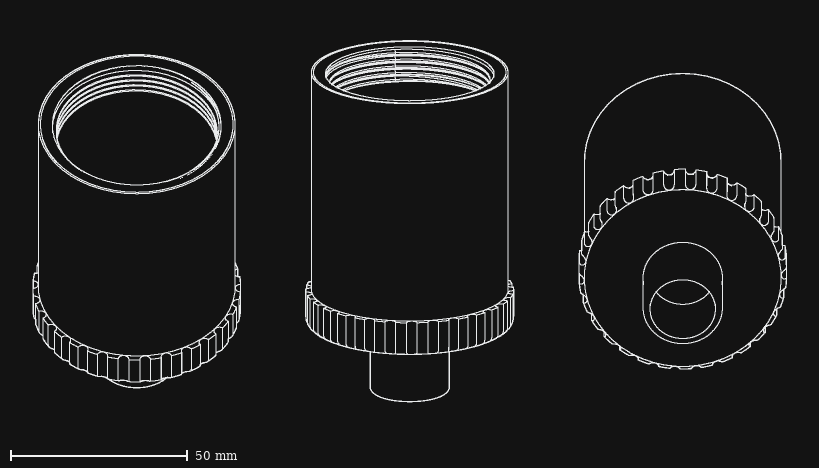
import cadquery as cq
import math

total_height = 95.0

barrel_radius = 55.8 / 2
bore_radius = 47.8 / 2
floor_thickness = barrel_radius - bore_radius

stem_length = 20.0
stem_radius = 22.5 / 2
stem_bore_radius = 18.5 / 2
stem_edge_fillet = 1.0

seat_radius = 21.9 / 2
seat_depth = floor_thickness / 2

collar_radius = 29.45
collar_height = 10.0
collar_fillet = 2.0
flute_count = 30
flute_radius = 1.5
flute_start_angle = 3.0

rim_land = 0.6
rim_lip_drop = 0.5

pitch = 2.0
flank_angle = 30
full_turns = 4
lead_turns = 0.25
thread_root_width = 7 / 8 * pitch
thread_crest_width = pitch / 4
thread_depth = 5 / 8 * pitch * math.cos(math.radians(flank_angle))
thread_top_gap = 1.5
points_per_turn = 48

collar_base = stem_length
floor_top = collar_base + floor_thickness
groove_width = barrel_radius - rim_land - bore_radius
groove_radius = (groove_width**2 + rim_lip_drop**2) / (2 * groove_width)
groove_centre_radius = barrel_radius - rim_land - groove_radius
crest_radius = bore_radius - thread_depth
thread_top = total_height - thread_top_gap - lead_turns * pitch
thread_bottom = thread_top - full_turns * pitch


def disc(radius, bottom, height):
    """Solid disc centred on the Z axis."""
    return cq.Workplane("XY").workplane(offset=bottom).circle(radius).extrude(height)


def make_collar():
    """Grip collar: rounded lower edge, with round flutes cut along its full height."""
    collar = disc(collar_radius, collar_base, collar_height).faces("<Z").edges().fillet(collar_fillet)
    flutes = (
        cq.Workplane("XY")
        .workplane(offset=collar_base)
        .polarArray(collar_radius, flute_start_angle, 360, flute_count)
        .circle(flute_radius)
        .extrude(collar_height)
    )
    return collar.cut(flutes)


def make_rim_groove():
    """Torus centred on the rim plane; its lower half sinks into the barrel wall."""
    rim_plane = cq.Vector(0, 0, total_height)
    return cq.Workplane(cq.Solid.makeTorus(groove_centre_radius, groove_radius, rim_plane))


def make_housing():
    """Barrel, collar and stem in one piece, bored through."""
    stem = disc(stem_radius, 0, stem_length).faces("<Z").edges().fillet(stem_edge_fillet)
    barrel = disc(barrel_radius, collar_base, total_height - collar_base)
    return (
        barrel.union(make_collar())
        .union(stem)
        .cut(disc(bore_radius, floor_top, total_height - floor_top))
        .cut(disc(seat_radius, floor_top - seat_depth, seat_depth))
        .cut(disc(stem_bore_radius, 0, floor_top))
        .cut(make_rim_groove())
    )


def make_thread_piece(start_height, start_angle, turns, start_fullness, end_fullness):
    """One right-handed length of thread; fullness 1 is the whole profile and 0 a point on the bore."""

    def corner_edge(corner_radius, corner_height):
        def point(fraction):
            fullness = start_fullness + (end_fullness - start_fullness) * fraction
            angle = math.radians(start_angle) + 2 * math.pi * turns * fraction
            radius = bore_radius + (corner_radius - bore_radius) * fullness
            height = start_height + pitch * turns * fraction + corner_height * fullness
            return (radius * math.cos(angle), radius * math.sin(angle), height)

        count = round(points_per_turn * turns)
        return cq.Workplane("XY").parametricCurve(point, N=count, makeWire=False).val()

    corners = [
        corner_edge(bore_radius, -thread_root_width / 2),
        corner_edge(crest_radius, -thread_crest_width / 2),
        corner_edge(crest_radius, thread_crest_width / 2),
        corner_edge(bore_radius, thread_root_width / 2),
    ]
    faces = [cq.Face.makeRuledSurface(corners[i - 1], corners[i]) for i in range(len(corners))]
    for fullness, end in ((start_fullness, 0), (end_fullness, 1)):
        if fullness > 0:
            outline = cq.Wire.makePolygon([edge.positionAt(end) for edge in corners], close=True)
            faces.append(cq.Face.makeFromWires(outline))
    return cq.Solid.makeSolid(cq.Shell.makeShell(faces))


housing = make_housing()
thread_turns = [make_thread_piece(thread_bottom + turn * pitch, 0, 1, 1, 1) for turn in range(full_turns)]
lower_lead = make_thread_piece(thread_bottom - lead_turns * pitch, -360 * lead_turns, lead_turns, 0, 1)
upper_lead = make_thread_piece(thread_top, 0, lead_turns, 1, 0)

result = cq.Compound.makeCompound([housing.val(), *thread_turns, lower_lead, upper_lead])